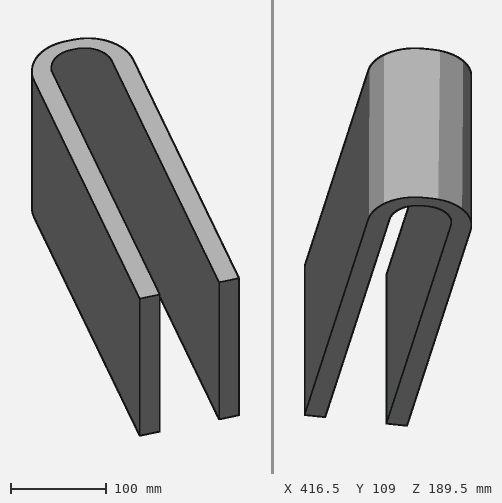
import cadquery as cq

length = 416.5
width = 109.0
height = 189.5

arm_thickness = 22.0
end_thickness = 15.0
outer_radius = 50.0
inner_radius = 30.0

slot_length = length - end_thickness
slot_width = width - 2 * arm_thickness


def rounded_end_block(start_x, block_length, block_width, corner_radius):
    """Full-height block, centred on Y, with its two -X vertical edges rounded."""
    return (
        cq.Workplane("XY")
        .box(block_length, block_width, height, centered=(False, True, False))
        .edges("|Z and <X")
        .fillet(corner_radius)
        .translate((start_x, 0, 0))
    )


body = rounded_end_block(0, length, width, outer_radius)
slot = rounded_end_block(end_thickness, slot_length, slot_width, inner_radius)
result = body.cut(slot)